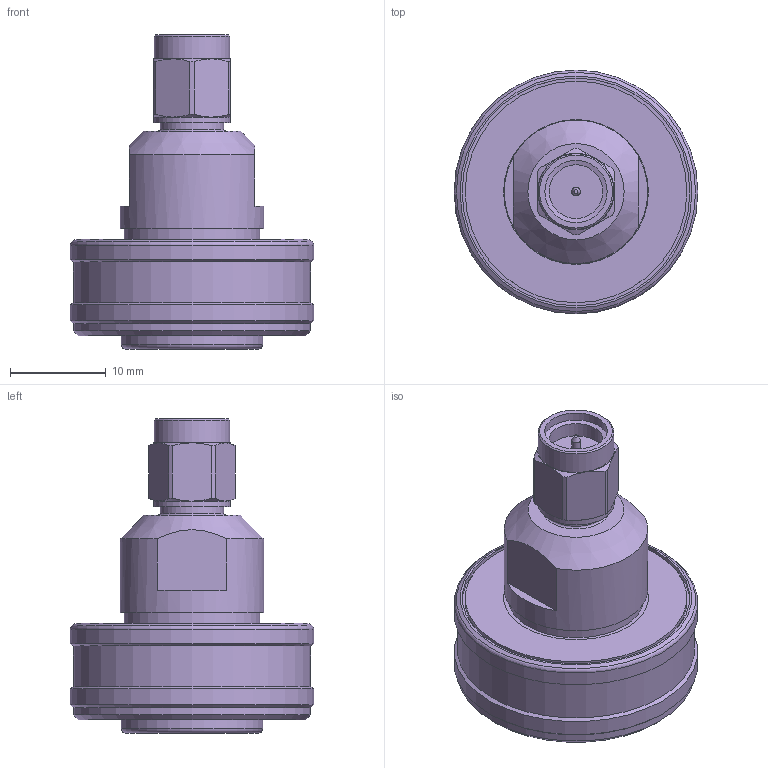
import cadquery as cq
import math

total_height = 32.75

boss_radius = 7.37
boss_fillet = 0.5

coupling_radius = 12.7
coupling_bottom_z = 1.4
coupling_top_z = 11.45
coupling_waist_radius = 12.35
coupling_bottom_chamfer = 0.5
lower_band_bottom_z = 2.97
lower_band_bottom_bevel = 0.3
lower_band_top_z = 4.63
upper_band_bottom_z = 9.32
waist_bevel_height = 0.22
rim_bevel_angle = 30.0
rim_bevel_inner_radius = 12.08
rim_rounding_radius = 0.47

rim_groove_outer_radius = 11.87
rim_groove_inner_radius = 11.55
rim_groove_depth = 0.5
neck_recess_radius = 7.55
neck_recess_depth = 0.1

lower_neck_radius = 7.07
body_radius = 7.48
body_bottom_z = 12.53
body_cone_bottom_z = 20.27
body_top_radius = 5.02
body_top_z = body_cone_bottom_z + (body_radius - body_top_radius)
wrench_flat_distance = 13.1
wrench_flat_bottom_z = 14.87

upper_neck_radius = 3.32
upper_neck_fillet = 0.2

nut_bottom_z = 23.57
hex_bottom_z = 24.18
hex_top_z = 30.25
hex_across_flats = 8.0
hex_corner_radius = 4.5
hex_chamfer_angle = 30.0
sleeve_radius = 3.95
sleeve_chamfer = 0.15

socket_mouth_radius = 3.25
socket_mouth_depth = 0.9
socket_radius = 2.8
socket_cone_height = 0.15
socket_depth = 2.6
pin_radius = 0.45
pin_tip_radius = 0.2
pin_tip_depth = 0.65
pin_nose_length = 0.55


def cylinder(radius, bottom_z, top_z):
    return cq.Workplane("XY").workplane(offset=bottom_z).circle(radius).extrude(top_z - bottom_z)


def revolve_about_z(profile):
    """Turn a closed XZ profile (local x = radius, local y = height) about Z."""
    return profile.close().revolve(360, (0, 0, 0), (0, 1, 0))


def make_boss():
    boss = cylinder(boss_radius, 0, coupling_bottom_z)
    return boss.faces("<Z").edges().fillet(boss_fillet)


def make_coupling():
    step = coupling_radius - coupling_waist_radius
    slope = math.radians(rim_bevel_angle)

    sweep = math.pi / 2 - slope
    arc_center_radius = coupling_radius - rim_rounding_radius
    arc_end_radius = arc_center_radius + rim_rounding_radius * math.cos(sweep)
    arc_end_z = coupling_top_z - (arc_end_radius - rim_bevel_inner_radius) * math.tan(slope)
    arc_start_z = arc_end_z - rim_rounding_radius * math.sin(sweep)
    arc_middle = (
        arc_center_radius + rim_rounding_radius * math.cos(sweep / 2),
        arc_start_z + rim_rounding_radius * math.sin(sweep / 2),
    )

    profile = (
        cq.Workplane("XZ")
        .moveTo(0, coupling_bottom_z)
        .lineTo(coupling_waist_radius - coupling_bottom_chamfer, coupling_bottom_z)
        .line(coupling_bottom_chamfer, coupling_bottom_chamfer)
        .lineTo(coupling_waist_radius, lower_band_bottom_z - lower_band_bottom_bevel)
        .lineTo(coupling_radius, lower_band_bottom_z)
        .lineTo(coupling_radius, lower_band_top_z)
        .line(-step, waist_bevel_height)
        .lineTo(coupling_waist_radius, upper_band_bottom_z - waist_bevel_height)
        .lineTo(coupling_radius, upper_band_bottom_z)
        .lineTo(coupling_radius, arc_start_z)
        .threePointArc(arc_middle, (arc_end_radius, arc_end_z))
        .lineTo(rim_bevel_inner_radius, coupling_top_z)
        .lineTo(0, coupling_top_z)
    )
    coupling = revolve_about_z(profile)

    groove_bottom_z = coupling_top_z - rim_groove_depth
    groove = cylinder(rim_groove_outer_radius, groove_bottom_z, coupling_top_z).cut(
        cylinder(rim_groove_inner_radius, groove_bottom_z, coupling_top_z)
    )
    neck_recess = cylinder(neck_recess_radius, coupling_top_z - neck_recess_depth, coupling_top_z)
    return coupling.cut(groove).cut(neck_recess)


def make_body():
    neck = cylinder(lower_neck_radius, coupling_bottom_z, body_bottom_z)
    profile = (
        cq.Workplane("XZ")
        .moveTo(0, body_bottom_z)
        .lineTo(body_radius, body_bottom_z)
        .lineTo(body_radius, body_cone_bottom_z)
        .lineTo(body_top_radius, body_top_z)
        .lineTo(0, body_top_z)
    )
    body = revolve_about_z(profile)

    flat_cut_height = body_top_z - wrench_flat_bottom_z
    for side in (-1, 1):
        flat_cut = cq.Workplane("XY").box(
            body_radius, 2 * body_radius, flat_cut_height, centered=(True, True, False)
        )
        flat_cut_x = side * (wrench_flat_distance + body_radius) / 2
        body = body.cut(flat_cut.translate((flat_cut_x, 0, wrench_flat_bottom_z)))
    return neck.union(body)


def make_upper_neck():
    diagonal = upper_neck_fillet * (1 - math.sqrt(0.5))
    profile = (
        cq.Workplane("XZ")
        .moveTo(0, body_top_z)
        .lineTo(upper_neck_radius + upper_neck_fillet, body_top_z)
        .threePointArc(
            (upper_neck_radius + diagonal, body_top_z + diagonal),
            (upper_neck_radius, body_top_z + upper_neck_fillet),
        )
        .lineTo(upper_neck_radius, nut_bottom_z)
        .lineTo(0, nut_bottom_z)
    )
    return revolve_about_z(profile)


def make_nut():
    flat_radius = hex_across_flats / 2
    chamfer_rise = (hex_corner_radius - flat_radius) * math.tan(math.radians(hex_chamfer_angle))

    hexagon = (
        cq.Workplane("XY")
        .workplane(offset=hex_bottom_z)
        .polygon(6, hex_across_flats / math.cos(math.pi / 6))
        .extrude(hex_top_z - hex_bottom_z)
        .rotate((0, 0, 0), (0, 0, 1), 90)
    )
    envelope_profile = (
        cq.Workplane("XZ")
        .moveTo(0, hex_bottom_z)
        .lineTo(flat_radius, hex_bottom_z)
        .lineTo(hex_corner_radius, hex_bottom_z + chamfer_rise)
        .lineTo(hex_corner_radius, hex_top_z - chamfer_rise)
        .lineTo(flat_radius, hex_top_z)
        .lineTo(0, hex_top_z)
    )
    hexagon = hexagon.intersect(revolve_about_z(envelope_profile))

    collar = cylinder(flat_radius, nut_bottom_z, hex_bottom_z)
    sleeve = cylinder(sleeve_radius, hex_top_z, total_height)
    sleeve = sleeve.faces(">Z").edges().chamfer(sleeve_chamfer)
    return collar.union(hexagon).union(sleeve)


def make_socket():
    mouth_bottom_z = total_height - socket_mouth_depth
    floor_z = total_height - socket_depth
    profile = (
        cq.Workplane("XZ")
        .moveTo(0, floor_z)
        .lineTo(socket_radius, floor_z)
        .lineTo(socket_radius, mouth_bottom_z - socket_cone_height)
        .lineTo(socket_mouth_radius, mouth_bottom_z)
        .lineTo(socket_mouth_radius, total_height)
        .lineTo(0, total_height)
    )
    return revolve_about_z(profile)


def make_pin():
    floor_z = total_height - socket_depth
    tip_z = total_height - pin_tip_depth
    profile = (
        cq.Workplane("XZ")
        .moveTo(0, floor_z)
        .lineTo(pin_radius, floor_z)
        .lineTo(pin_radius, tip_z - pin_nose_length)
        .lineTo(pin_tip_radius, tip_z)
        .lineTo(0, tip_z)
    )
    return revolve_about_z(profile)


result = (
    make_boss()
    .union(make_coupling())
    .union(make_body())
    .union(make_upper_neck())
    .union(make_nut())
    .cut(make_socket())
    .union(make_pin())
)